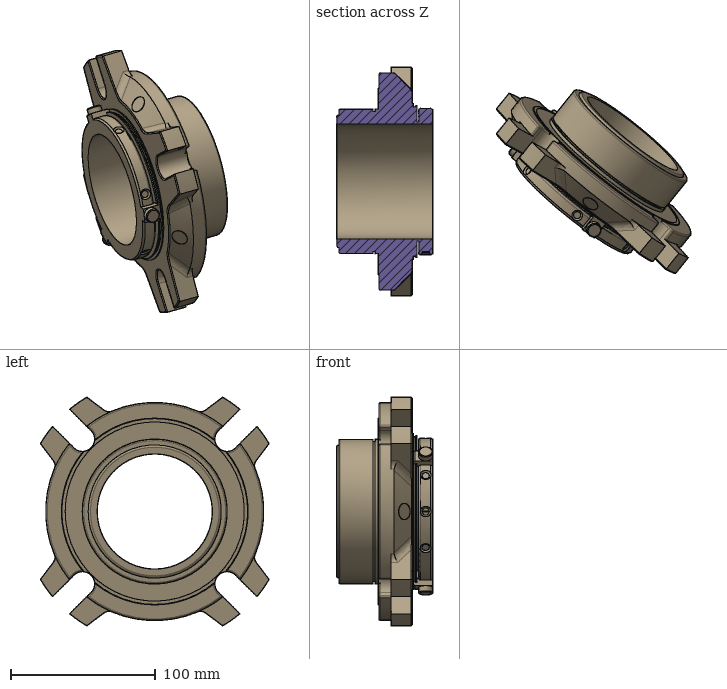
import cadquery as cq
import math

bore_radius = 79.4 / 2
sleeve_radius = 82.6 / 2
lip_radius = 92.0 / 2
lip_fillet = 1.6
body_radius = 100.0 / 2
body_fillet = 1.0
neck_radius = 97.0 / 2
shoulder_radius = 100.3 / 2

lip_length = 1.6
body_end = 25.3
neck_end = 26.5
raised_face_x = 28.8
flange_front_x = 29.3

raised_face_radius = 64.5
raised_face_chamfer = 0.3
seat_radius = 123.9 / 2
seat_depth = 0.2
flange_radius = 75.5
flange_fillet = 1.1
cone_start_x = 39.7
flange_back_x = 52.4
cone_end_radius = flange_radius - (flange_back_x - cone_start_x)

outer_reach = 79.1
ear_corner_offset = 47.0
ear_front_x = 37.7
ear_taper = 8.0
ear_root_overlap = 15.8
ear_chamfer = 0.8
ear_root_fillet = 6.0
slot_half_width = 8.4
slot_centre_radius = 70.7
slot_angles = (45, 135, 225, 315)

port_diameter = 11.2
port_x = 46.8
port_height = 0.2
port_angles = (0, 90, 180, 270)

collar_step_radius = 54.1
collar_step_end = 53.2
collar_groove_radius = 103.5 / 2
collar_groove_end = 54.3
collar_radius = 105.0 / 2
collar_end = 55.7
collar_chamfer = 0.5

ring_radius = 50.8
ring_front_x = 56.8
ring_back_x = 66.6
ring_front_fillet = 1.3
ring_back_bevel_length = 1.6
ring_back_bevel_drop = 0.8

recess_diameter = 7.5
recess_floor_diameter = 4.9
recess_depth = 1.3
recess_angles = (30, 90, 150, 210, 270, 330)
slotted_screw_angle = 180
driver_slot_width = 0.6
driver_slot_depth = 0.8

clip_angles = (15, 135, 255)
clip_inner_radius = 49.0
clip_outer_radius = 54.4
clip_half_width = 5.2
clip_front_x = 53.0
clip_chamfer = 1.1
head_diameter = 10.0
screw_x = ring_back_x - head_diameter / 2
head_top_radius = 58.7
head_chamfer = 0.6

match_tolerance = 0.02


def spin(shape, angle):
    """Turn a shape about the X axis, from +Y towards +Z."""
    return shape.rotate((0, 0, 0), (1, 0, 0), angle)


def radial_disc(diameter, x, inner_radius, outer_radius):
    """Cylinder whose axis points outward along +Y."""
    return (
        cq.Workplane("XZ", origin=(x, inner_radius, 0))
        .circle(diameter / 2)
        .extrude(inner_radius - outer_radius)
    )


def disc(radius, x_start, x_end):
    """Cylinder on the X axis."""
    return cq.Workplane("YZ", origin=(x_start, 0, 0)).circle(radius).extrude(x_end - x_start)


def make_slots(x_start, x_end):
    """Open U-shaped slots pointing outward along the diagonals."""
    tool = (
        cq.Workplane("YZ", origin=(x_start, 0, 0))
        .moveTo(outer_reach * 2, -slot_half_width)
        .lineTo(slot_centre_radius, -slot_half_width)
        .threePointArc((slot_centre_radius - slot_half_width, 0), (slot_centre_radius, slot_half_width))
        .lineTo(outer_reach * 2, slot_half_width)
        .close()
        .extrude(x_end - x_start)
    )
    slots = spin(tool, slot_angles[0])
    for angle in slot_angles[1:]:
        slots = slots.union(spin(tool, angle))
    return slots


def make_ear_block():
    """One pair of ears as a single block along +Y, before its slot is cut."""
    tip_radius = math.hypot(outer_reach, ear_corner_offset)
    corner_y = (outer_reach + ear_corner_offset) / math.sqrt(2)
    corner_z = (outer_reach - ear_corner_offset) / math.sqrt(2)
    root_y = cone_end_radius - ear_root_overlap
    root_z = corner_z + (corner_y - root_y) * math.tan(math.radians(ear_taper))
    return (
        cq.Workplane("YZ", origin=(ear_front_x, 0, 0))
        .moveTo(root_y, -root_z)
        .lineTo(corner_y, -corner_z)
        .threePointArc((tip_radius, 0), (corner_y, corner_z))
        .lineTo(root_y, root_z)
        .close()
        .extrude(flange_back_x - ear_front_x)
    )


def make_flange():
    """Slotted flange: coned back with ears, filleted front rim and raised sealing face."""
    back = (
        cq.Workplane("XY")
        .moveTo(ear_front_x, 0)
        .lineTo(ear_front_x, flange_radius)
        .lineTo(cone_start_x, flange_radius)
        .lineTo(flange_back_x, cone_end_radius)
        .lineTo(flange_back_x, 0)
        .close()
        .revolve(360, (0, 0, 0), (1, 0, 0))
    )
    block = make_ear_block()
    for angle in slot_angles:
        back = back.union(spin(block, angle))

    back = back.newObject(ear_root_edges(back)).fillet(ear_root_fillet)
    back = back.cut(make_slots(ear_front_x, flange_back_x))
    back = back.newObject(ear_back_edges(back)).chamfer(ear_chamfer)

    front = disc(flange_radius, flange_front_x, ear_front_x)
    front = front.cut(make_slots(flange_front_x, ear_front_x))
    front = front.edges("<X or |X").fillet(flange_fillet)

    raised_face = disc(raised_face_radius, raised_face_x, ear_front_x)
    raised_face = raised_face.faces("<X").edges().chamfer(raised_face_chamfer)
    raised_face = raised_face.cut(make_slots(raised_face_x, ear_front_x))
    seat = disc(seat_radius, raised_face_x, raised_face_x + seat_depth)
    raised_face = raised_face.cut(seat)
    return back.union(front).union(raised_face)


def ear_root_edges(solid):
    """Edges where the ear sides meet the flange rim and its cone."""
    found = []
    for edge in solid.edges().vals():
        middle = edge.positionAt(0.5)
        radius = math.hypot(middle.y, middle.z)
        surface_radius = flange_radius - max(0, middle.x - cone_start_x)
        ends_apart = abs(edge.startPoint().x - edge.endPoint().x)
        runs_along_axis = ends_apart > (cone_start_x - ear_front_x) / 2
        if abs(radius - surface_radius) < match_tolerance and runs_along_axis:
            found.append(edge)
    return found


def ear_back_edges(solid):
    """Outline of the ears and slots on the back face, without the end of the cone."""
    found = []
    for edge in solid.faces(">X").edges().vals():
        middle = edge.positionAt(0.5)
        if math.hypot(middle.y, middle.z) > cone_end_radius + match_tolerance:
            found.append(edge)
    return found


def make_gland():
    """Turned body, sleeve, collar and lock ring as one revolved outline."""
    setback_ratio = 1 - math.sqrt(0.5)
    lip_setback = lip_fillet * setback_ratio
    body_setback = body_fillet * setback_ratio
    ring_setback = ring_front_fillet * setback_ratio
    return (
        cq.Workplane("XY")
        .moveTo(0, bore_radius)
        .lineTo(0, lip_radius - lip_fillet)
        .threePointArc((lip_setback, lip_radius - lip_setback), (lip_fillet, lip_radius))
        .lineTo(lip_length, body_radius - body_fillet)
        .threePointArc(
            (lip_length + body_setback, body_radius - body_setback),
            (lip_length + body_fillet, body_radius),
        )
        .lineTo(body_end, body_radius)
        .lineTo(body_end, neck_radius)
        .lineTo(neck_end, neck_radius)
        .lineTo(neck_end, shoulder_radius)
        .lineTo(flange_back_x, shoulder_radius)
        .lineTo(flange_back_x, collar_step_radius)
        .lineTo(collar_step_end, collar_step_radius)
        .lineTo(collar_step_end, collar_groove_radius)
        .lineTo(collar_groove_end, collar_groove_radius)
        .lineTo(collar_groove_end, collar_radius - collar_chamfer)
        .lineTo(collar_groove_end + collar_chamfer, collar_radius)
        .lineTo(collar_end, collar_radius)
        .lineTo(collar_end, sleeve_radius)
        .lineTo(ring_front_x, sleeve_radius)
        .lineTo(ring_front_x, ring_radius - ring_front_fillet)
        .threePointArc(
            (ring_front_x + ring_setback, ring_radius - ring_setback),
            (ring_front_x + ring_front_fillet, ring_radius),
        )
        .lineTo(ring_back_x - ring_back_bevel_length, ring_radius)
        .lineTo(ring_back_x, ring_radius - ring_back_bevel_drop)
        .lineTo(ring_back_x, bore_radius)
        .close()
        .revolve(360, (0, 0, 0), (1, 0, 0))
    )


def make_recess():
    """Tapered set screw mouth on the +Y side of the lock ring."""
    overshoot = 0.3
    slope = (recess_diameter - recess_floor_diameter) / 2 / recess_depth
    return (
        cq.Workplane("XZ", origin=(screw_x, ring_radius - recess_depth, 0))
        .circle(recess_floor_diameter / 2)
        .workplane(offset=-(recess_depth + overshoot))
        .circle(recess_diameter / 2 + slope * overshoot)
        .loft(ruled=True)
    )


def make_driver_slot():
    """Screwdriver slot below the floor of a recess on the +Y side."""
    floor_radius = ring_radius - recess_depth
    return (
        cq.Workplane("XY")
        .box(recess_floor_diameter, 2 * driver_slot_depth, driver_slot_width)
        .translate((screw_x, floor_radius, 0))
        .intersect(
            radial_disc(recess_floor_diameter, screw_x, floor_radius - driver_slot_depth, floor_radius)
        )
    )


def make_clip():
    """Setting clip on the +Y side, with a chamfered front and a cap screw head."""
    plate = (
        cq.Workplane("XY")
        .moveTo(clip_front_x, clip_inner_radius)
        .lineTo(clip_front_x, clip_outer_radius - clip_chamfer)
        .lineTo(clip_front_x + clip_chamfer, clip_outer_radius)
        .lineTo(ring_back_x, clip_outer_radius)
        .lineTo(ring_back_x, clip_inner_radius)
        .close()
        .extrude(clip_half_width, both=True)
    )
    head = radial_disc(head_diameter, screw_x, clip_inner_radius, head_top_radius)
    head = head.faces(">Y").edges().chamfer(head_chamfer)
    return plate.union(head)


def make_port():
    """Flat plug standing square to the 45 degree cone on the +Y side."""
    cone_radius = flange_radius - (port_x - cone_start_x)
    plug_root = 3.2
    plane = cq.Plane(origin=(port_x, cone_radius, 0), xDir=(0, 0, 1), normal=(1, 1, 0))
    return (
        cq.Workplane(plane)
        .workplane(offset=-plug_root)
        .circle(port_diameter / 2)
        .extrude(plug_root + port_height)
    )


part = make_flange().union(make_gland())

for angle in port_angles:
    part = part.union(spin(make_port(), angle))

for angle in recess_angles:
    part = part.cut(spin(make_recess(), angle))
part = part.cut(spin(make_recess().union(make_driver_slot()), slotted_screw_angle))

for angle in clip_angles:
    part = part.union(spin(make_clip(), angle))

bore = disc(bore_radius, 0, ring_back_x)
result = part.cut(bore)